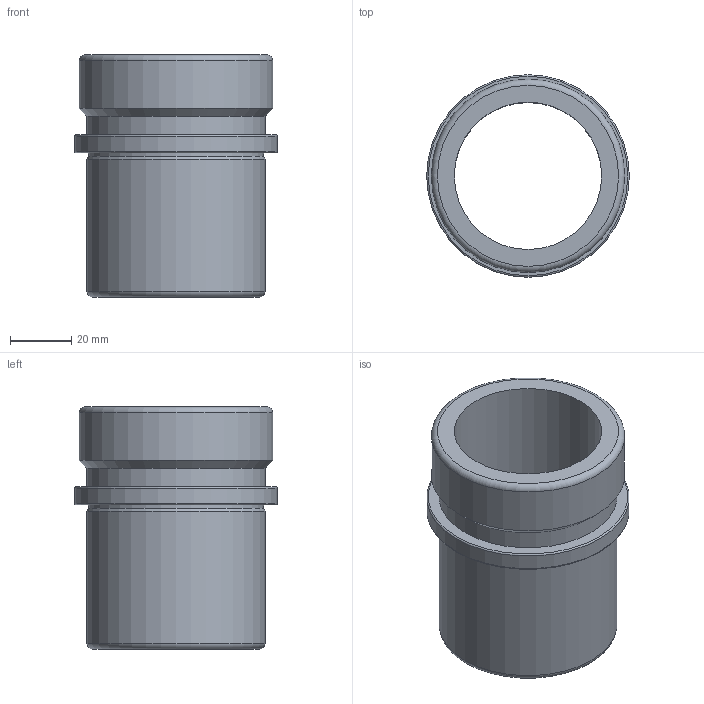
import cadquery as cq
import math

TOTAL_HEIGHT = 79.0
SHOULDER_HEIGHT = 45.0
GROOVE_TOP = 47.0
FLANGE_THICKNESS = 6.0
HEAD_HEIGHT = 20.0

BORE_DIAMETER = 48.0
BODY_DIAMETER = 58.0
GROOVE_DIAMETER = 57.0
FLANGE_DIAMETER = 66.0
HEAD_DIAMETER = 63.0

SHOULDER_ANGLE = 30.0
END_FILLET = 2.0
FLANGE_FILLET = 0.5

GROOVE_DEPTH = (BODY_DIAMETER - GROOVE_DIAMETER) / 2
GROOVE_BOTTOM = SHOULDER_HEIGHT + GROOVE_DEPTH / math.tan(math.radians(SHOULDER_ANGLE))


def cylinder(diameter, bottom, top):
    """Solid cylinder on the Z axis between two heights."""
    return cq.Workplane("XY").workplane(offset=bottom).circle(diameter / 2).extrude(top - bottom)


def make_body():
    """Lower sleeve: rounded bottom edge, and a conical shoulder leading into the groove."""
    body = cylinder(BODY_DIAMETER, 0, GROOVE_BOTTOM).faces("<Z").edges().fillet(END_FILLET)
    shoulder_waste = (
        cq.Workplane("XZ")
        .moveTo(BODY_DIAMETER / 2, SHOULDER_HEIGHT)
        .lineTo(BODY_DIAMETER / 2, GROOVE_BOTTOM)
        .lineTo(GROOVE_DIAMETER / 2, GROOVE_BOTTOM)
        .close()
        .revolve(360, (0, 0, 0), (0, 1, 0))
    )
    return body.cut(shoulder_waste)


def make_flange():
    """Thin collar with both rims slightly rounded."""
    flange = cylinder(FLANGE_DIAMETER, GROOVE_TOP, GROOVE_TOP + FLANGE_THICKNESS)
    return flange.faces("<Z or >Z").edges().fillet(FLANGE_FILLET)


def make_head():
    """Upper ring: rounded top edge, and a 45 degree bevel down to the neck."""
    bevel = (HEAD_DIAMETER - BODY_DIAMETER) / 2
    head = cylinder(HEAD_DIAMETER, TOTAL_HEIGHT - HEAD_HEIGHT, TOTAL_HEIGHT)
    return head.faces(">Z").edges().fillet(END_FILLET).faces("<Z").edges().chamfer(bevel)


groove = cylinder(GROOVE_DIAMETER, GROOVE_BOTTOM, GROOVE_TOP)
neck = cylinder(BODY_DIAMETER, GROOVE_TOP, TOTAL_HEIGHT - HEAD_HEIGHT)
bore = cylinder(BORE_DIAMETER, 0, TOTAL_HEIGHT)

result = make_body().union(groove).union(make_flange()).union(neck).union(make_head()).cut(bore)